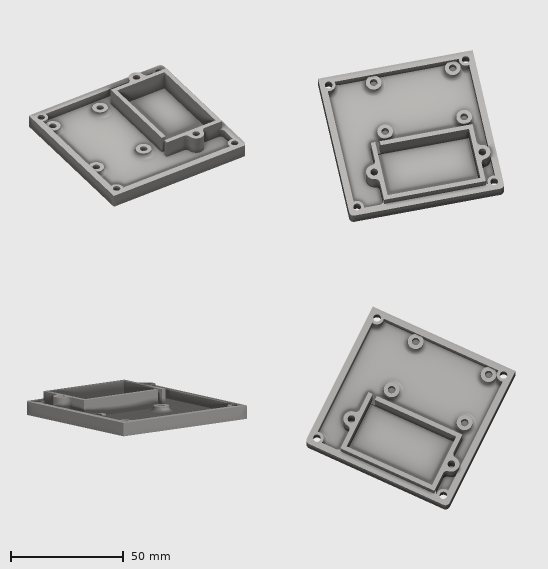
import cadquery as cq
import math

side = 70.0
rim_height = 6.0
rim_thickness = 3.0
floor_height = 2.0
back_corner_radius = 2.0
blend_radius = 2.0

post_inset = 4.0
post_radius = 3.0
screw_diameter = 3.35
post_bore_diameter = 4.5
post_lip = 1.05

standoff_x = 10.3
standoff_y = 6.1
standoff_pitch_x = 35.8
standoff_pitch_y = 24.85
standoff_radius = 3.5
standoff_height = 2.4

total_height = 10.0
wall = 2.0
compartment_left = 8.0
compartment_length = 46.05
compartment_depth = 29.0
recess_floor = 1.05
slot_width = 2.0
ear_offset = 1.5
ear_radius = 3.6

rim_far = side - rim_thickness
compartment_right = compartment_left + compartment_length
compartment_back = rim_far
compartment_front = compartment_back - compartment_depth
compartment_middle_y = (compartment_front + compartment_back) / 2
side_walls = ((compartment_left, -1), (compartment_right, 1))
arc_reach = blend_radius * (1 - math.sqrt(0.5))

post_places = [(x, y) for x in (post_inset, side - post_inset) for y in (post_inset, side - post_inset)]
standoff_places = [
    (standoff_x + column * standoff_pitch_x, standoff_y + row * standoff_pitch_y)
    for column in range(2)
    for row in range(2)
]
ear_places = [(x_wall + outward * ear_offset, compartment_middle_y) for x_wall, outward in side_walls]


def box(x_min, y_min, z_min, x_max, y_max, z_max):
    """Axis-aligned box between two opposite corners."""
    size = (x_max - x_min, y_max - y_min, z_max - z_min)
    return cq.Workplane("XY").box(*size, centered=False).translate((x_min, y_min, z_min))


def cylinder(place, z_min, z_max, diameter):
    """Upright cylinder between two heights."""
    return cq.Workplane("XY", origin=(*place, z_min)).circle(diameter / 2).extrude(z_max - z_min)


def flared_post(place, top, radius):
    """Round post whose foot flares onto the floor in a concave quarter arc."""
    profile = (
        cq.Workplane("XZ", origin=(*place, 0))
        .lineTo(radius + blend_radius, 0)
        .lineTo(radius + blend_radius, floor_height)
        .threePointArc(
            (radius + arc_reach, floor_height + arc_reach),
            (radius, floor_height + blend_radius),
        )
        .lineTo(radius, top)
        .lineTo(0, top)
        .close()
    )
    post = profile.revolve(360, (0, 0, 0), (0, 1, 0))
    near = rim_thickness / 2
    return post.intersect(box(near, near, 0, side - near, side - near, rim_height))


def rim_blend(x_wall, outward):
    """Concave upright fillet between a compartment side wall and the back rim."""
    return (
        cq.Workplane("XY")
        .moveTo(x_wall, compartment_back)
        .lineTo(x_wall + outward * blend_radius, compartment_back)
        .threePointArc(
            (x_wall + outward * arc_reach, compartment_back - arc_reach),
            (x_wall, compartment_back - blend_radius),
        )
        .close()
        .extrude(rim_height)
    )


def ear(x_wall, outward):
    """Round ear on a side wall, blended into it by concave arcs tangent to both."""
    blend_dx = blend_radius
    centre_distance = ear_radius + blend_radius
    blend_dy = math.sqrt(centre_distance**2 - (blend_dx - ear_offset) ** 2)
    touch_dx = ear_offset + (blend_dx - ear_offset) * ear_radius / centre_distance
    touch_dy = blend_dy * ear_radius / centre_distance
    half_angle = math.atan2(blend_dy, blend_dx - ear_offset) / 2
    middle_dx = blend_dx - blend_radius * math.cos(half_angle)
    middle_dy = blend_dy - blend_radius * math.sin(half_angle)

    def point(dx, dy):
        return (x_wall + outward * dx, compartment_middle_y + dy)

    return (
        cq.Workplane("XY")
        .moveTo(*point(-wall, -blend_dy))
        .lineTo(*point(0, -blend_dy))
        .threePointArc(point(middle_dx, -middle_dy), point(touch_dx, -touch_dy))
        .threePointArc(point(ear_offset + ear_radius, 0), point(touch_dx, touch_dy))
        .threePointArc(point(middle_dx, middle_dy), point(0, blend_dy))
        .lineTo(*point(-wall, blend_dy))
        .close()
        .extrude(total_height)
    )


result = box(0, 0, 0, side, side, rim_height).edges("|Z and >Y").fillet(back_corner_radius)
result = result.cut(box(rim_thickness, rim_thickness, floor_height, rim_far, rim_far, rim_height))

for place in post_places:
    result = result.union(flared_post(place, rim_height, post_radius))
for place in standoff_places:
    result = result.union(flared_post(place, floor_height + standoff_height, standoff_radius))

result = result.union(
    box(compartment_left, compartment_front, 0, compartment_right, compartment_back, total_height)
)
for x_wall, outward in side_walls:
    result = result.union(ear(x_wall, outward))
    result = result.union(rim_blend(x_wall, outward))

pocket_left = compartment_left + wall
pocket_right = compartment_right - wall
pocket_front = compartment_front + wall
pocket_back = compartment_back - wall
slot_left = pocket_right - slot_width
result = result.cut(box(pocket_left, pocket_front, recess_floor, pocket_right, pocket_back, total_height))
result = result.cut(box(slot_left, compartment_front, floor_height, pocket_right, pocket_front, total_height))

for place in post_places:
    result = result.cut(cylinder(place, 0, rim_height, screw_diameter))
    result = result.cut(cylinder(place, 0, rim_height - post_lip, post_bore_diameter))

for place in standoff_places + ear_places:
    result = result.cut(cylinder(place, floor_height, total_height, screw_diameter))